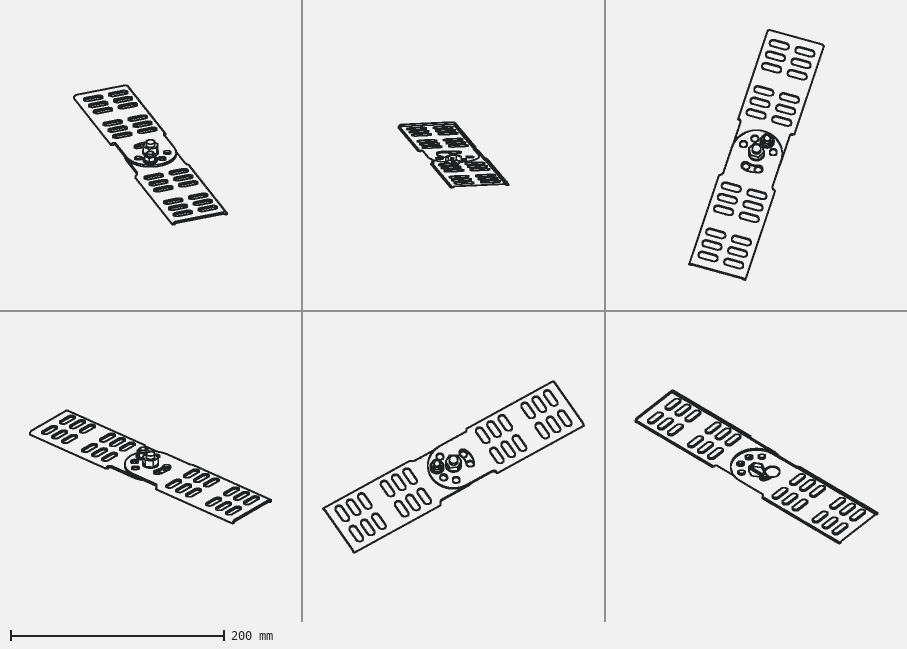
import cadquery as cq
import math

overall_length = 254.0
overall_width = 55.4
sheet = 2.0
strip_length = overall_length / 2

bend_angle = math.radians(82)
bend_radius = 3.5
lip_run = bend_radius * math.sin(bend_angle)
lip_start = 31.0
flat_width = overall_width - 2 * lip_run
nose_radius = flat_width / 2

slot_width = 6.9
slot_length = 18.5
slot_row_spacing = 25.1
slot_pitch = 12.5
slot_group_pitch = 50.0
slots_per_group = 3
slot_groups = 2
end_to_first_slot = 12.0

hole_ring_radius = 15.7
hole_diameter = 6.9
index_angles = (-67.5, -22.5, 22.5, 67.5)
arc_slot_radius = 16.0
arc_slot_width = 7.4
arc_slot_half_angle = 24
locking_angle = -22.5

pivot_diameter = 8.1
pivot_length = 15.2
pivot_hex = 13.0
pivot_head_height = 5.3
bearing_face_diameter = 12.5
bearing_face_height = 0.5
driver_slot_width = 2.3
driver_slot_depth = 2.3
pivot_nut_height = 7.5
pivot_collar_diameter = 14.7
pivot_collar_height = 0.8

lock_diameter = 6.0
lock_protrusion = 8.5
lock_head_diameter = 13.7
lock_head_rim = 1.3
lock_head_dome = 2.3
lock_hex = 10.0
lock_nut_chamfer_angle = math.radians(30)
lock_stack_height = 6.0
lock_washer_diameter = 13.0
lock_washer_height = 1.5

upper_face = sheet
lower_face = -sheet
locking_x = hole_ring_radius * math.cos(math.radians(locking_angle))
locking_y = hole_ring_radius * math.sin(math.radians(locking_angle))


def polar(radius, degrees):
    angle = math.radians(degrees)
    return radius * math.cos(angle), radius * math.sin(angle)


def cylinder(diameter, height, z, x=0.0, y=0.0):
    return cq.Workplane("XY", origin=(x, y, z)).circle(diameter / 2).extrude(height)


def hexagon(across_flats, height, z, x=0.0, y=0.0):
    """Hexagonal prism with two corners on the Y direction."""
    corner_diameter = across_flats / math.cos(math.pi / 6)
    prism = cq.Workplane("XY").polygon(6, corner_diameter).extrude(height)
    return prism.rotate((0, 0, 0), (0, 0, 1), 90).translate((x, y, z))


def bent_edge_point(radius, sweep):
    """Point (y, z) on an arc about the bend axis, swept from vertical."""
    axis_y = flat_width / 2
    axis_z = sheet - bend_radius
    return axis_y + radius * math.sin(sweep), axis_z + radius * math.cos(sweep)


def bent_strip():
    """Cross-section of the curled sheet, extruded from the square end to the pivot."""
    inner_radius = bend_radius - sheet
    half_section = (
        cq.Workplane("YZ", origin=(-strip_length, 0, 0))
        .moveTo(0, sheet)
        .lineTo(*bent_edge_point(bend_radius, 0))
        .threePointArc(
            bent_edge_point(bend_radius, bend_angle / 2), bent_edge_point(bend_radius, bend_angle)
        )
        .lineTo(*bent_edge_point(inner_radius, bend_angle))
        .threePointArc(
            bent_edge_point(inner_radius, bend_angle / 2), bent_edge_point(inner_radius, 0)
        )
        .lineTo(0, 0)
        .close()
        .extrude(strip_length)
    )
    return half_section.union(half_section.mirror("XZ"))


def lip_trims():
    """Blocks that remove the curled edges near the pivot, ending in a concave quarter round."""
    height = 2 * bend_radius + 2 * sheet
    reach = 2 * lip_run
    block = (
        cq.Workplane("XY", origin=(0, 0, -height))
        .moveTo(-lip_start, flat_width / 2 + reach)
        .lineTo(-lip_start, flat_width / 2 + lip_run)
        .radiusArc((-lip_start + lip_run, flat_width / 2), -lip_run)
        .lineTo(0, flat_width / 2)
        .lineTo(0, flat_width / 2 + reach)
        .close()
        .extrude(2 * height)
    )
    return block.union(block.mirror("XZ"))


def mounting_slots():
    centres = []
    for group in range(slot_groups):
        for index in range(slots_per_group):
            x = -strip_length + end_to_first_slot + group * slot_group_pitch + index * slot_pitch
            for side in (-1, 1):
                centres.append((x, side * slot_row_spacing / 2))
    return cq.Workplane("XY").pushPoints(centres).slot2D(slot_length, slot_width, 90).extrude(sheet)


def arc_slot():
    """Curved adjusting slot about the pivot, between the pivot and the mounting slots."""
    outer = arc_slot_radius + arc_slot_width / 2
    inner = arc_slot_radius - arc_slot_width / 2
    start = 180 - arc_slot_half_angle
    end = 180 + arc_slot_half_angle
    band = (
        cq.Workplane("XY")
        .moveTo(*polar(inner, start))
        .lineTo(*polar(outer, start))
        .threePointArc(polar(outer, 180), polar(outer, end))
        .lineTo(*polar(inner, end))
        .threePointArc(polar(inner, 180), polar(inner, start))
        .close()
        .extrude(sheet)
    )
    ends = [polar(arc_slot_radius, start), polar(arc_slot_radius, end)]
    return band.union(cq.Workplane("XY").pushPoints(ends).circle(arc_slot_width / 2).extrude(sheet))


def splice_plate():
    """Strip reaching toward -X, underside of the web at Z = 0."""
    index_holes = [polar(hole_ring_radius, angle) for angle in index_angles]
    plate = bent_strip().cut(lip_trims())
    plate = plate.union(cylinder(2 * nose_radius, sheet, 0))
    plate = plate.cut(mounting_slots()).cut(arc_slot())
    plate = plate.cut(cq.Workplane("XY").pushPoints(index_holes).circle(hole_diameter / 2).extrude(sheet))
    return plate.cut(cylinder(pivot_diameter, sheet, 0))


def pivot_bolt():
    """Hexagon-headed bolt with a driver slot along X and a round bearing face."""
    head_bottom = lower_face - pivot_head_height
    head = hexagon(pivot_hex, pivot_head_height - bearing_face_height, head_bottom)
    head = head.union(cylinder(bearing_face_diameter, pivot_head_height, head_bottom))
    driver_slot = cq.Workplane("XY", origin=(0, 0, head_bottom)).box(
        2 * pivot_hex, driver_slot_width, driver_slot_depth, centered=(True, True, False)
    )
    return head.cut(driver_slot).union(cylinder(pivot_diameter, pivot_length, lower_face))


def pivot_nut():
    """Hexagon nut standing on a thin round collar."""
    nut = hexagon(pivot_hex, pivot_nut_height, upper_face)
    nut = nut.union(cylinder(pivot_collar_diameter, pivot_collar_height, upper_face))
    return nut.cut(cylinder(pivot_diameter, pivot_nut_height, upper_face))


def lock_bolt():
    """Round-headed bolt: revolved head, domed below its rim, and a plain shank."""
    rim_radius = lock_head_diameter / 2
    rim_bottom = lower_face - lock_head_rim
    dome_radius = (rim_radius**2 + lock_head_dome**2) / (2 * lock_head_dome)
    head = (
        cq.Workplane("XZ")
        .moveTo(0, lower_face)
        .lineTo(rim_radius, lower_face)
        .lineTo(rim_radius, rim_bottom)
        .radiusArc((0, rim_bottom - lock_head_dome), dome_radius)
        .close()
        .revolve(360, (0, 0, 0), (0, 1, 0))
        .translate((locking_x, locking_y, 0))
    )
    shank_length = upper_face + lock_protrusion - lower_face
    return head.union(cylinder(lock_diameter, shank_length, lower_face, locking_x, locking_y))


def lock_washer():
    disc = cylinder(lock_washer_diameter, lock_washer_height, upper_face, locking_x, locking_y)
    return disc.cut(cylinder(lock_diameter, lock_washer_height, upper_face, locking_x, locking_y))


def lock_nut():
    """Hexagon nut whose top corners are chamfered down to the across-flats circle."""
    bottom = upper_face + lock_washer_height
    height = lock_stack_height - lock_washer_height
    nut = hexagon(lock_hex, height, bottom, locking_x, locking_y)
    corner_radius = lock_hex / 2 / math.cos(math.pi / 6)
    corner_depth = corner_radius - lock_hex / 2
    corner_drop = corner_depth * math.tan(lock_nut_chamfer_angle)
    chamfer_cone = cylinder(2 * corner_radius, height, bottom, locking_x, locking_y)
    chamfer_cone = chamfer_cone.faces(">Z").chamfer(corner_drop, corner_depth)
    nut = nut.intersect(chamfer_cone)
    return nut.cut(cylinder(lock_diameter, height, bottom, locking_x, locking_y))


upper_plate = splice_plate()
lower_plate = splice_plate().rotate((0, 0, 0), (0, 0, 1), 180).translate((0, 0, -sheet))

result = cq.Compound.makeCompound([
    upper_plate.val(),
    lower_plate.val(),
    pivot_bolt().val(),
    pivot_nut().val(),
    lock_bolt().val(),
    lock_washer().val(),
    lock_nut().val(),
])